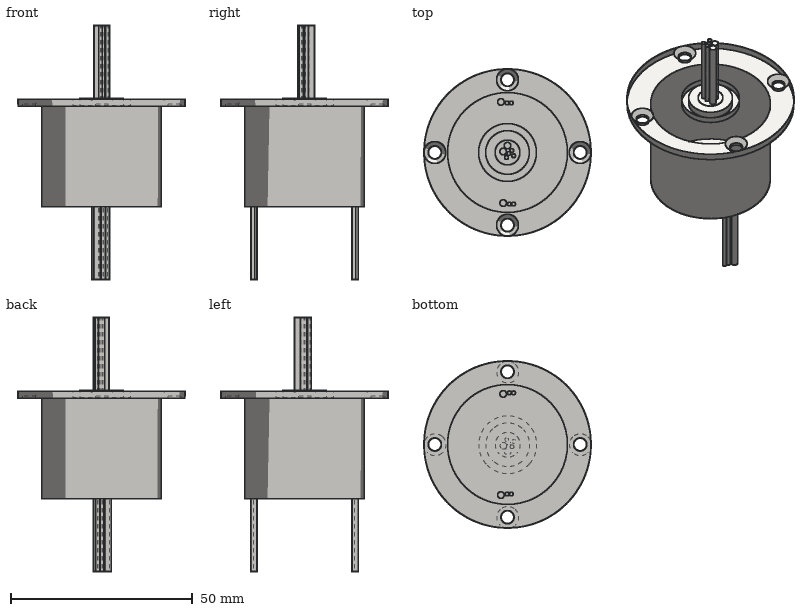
import cadquery as cq

lead_length = 20.0
total_height = 69.9
body_bottom = lead_length
boss_top = total_height - lead_length
boss_rise = 0.3
flange_top = boss_top - boss_rise
flange_thickness = 2.0

flange_radius = 23.0
body_radius = 16.5
recess_radius = 8.0
recess_depth = 1.75
boss_radius = 6.0
lead_seat_radius = 3.4
lead_seat_depth = 0.1

hole_count = 4
hole_circle_radius = 20.0
hole_diameter = 3.5
countersink_diameter = 6.0
countersink_angle = 90.0

thick_radius = 0.9
thin_radius = 0.525
upper_thick_positions = [(0.0, 1.9), (-1.2, 0.3)]
upper_thin_positions = [(1.2, 0.55), (1.7, -0.9), (0.35, -0.3), (-0.3, -1.4)]

lower_thick_positions = [(-1.2, -13.9), (-1.8, 13.9)]
lower_thin_offsets = [(1.7, -0.3), (2.9, -0.3)]


def cylinder(radius, bottom, top, position=(0.0, 0.0)):
    """Vertical cylinder between two heights."""
    return cq.Workplane("XY", origin=(*position, bottom)).circle(radius).extrude(top - bottom)


def make_shell():
    """Round body and flange, with a ring-shaped recess around the central boss."""
    flange_bottom = flange_top - flange_thickness
    recess_floor = flange_top - recess_depth
    seat_floor = boss_top - lead_seat_depth
    shell = cylinder(body_radius, body_bottom, flange_bottom)
    shell = shell.union(cylinder(flange_radius, flange_bottom, flange_top))
    shell = shell.cut(cylinder(recess_radius, recess_floor, flange_top))
    shell = shell.union(cylinder(boss_radius, recess_floor, boss_top))
    return shell.cut(cylinder(lead_seat_radius, seat_floor, boss_top))


def cut_mounting_holes(shell):
    """Countersunk holes through the flange, evenly spaced."""
    return (
        shell.copyWorkplane(cq.Workplane("XY", origin=(0, 0, flange_top)))
        .polarArray(hole_circle_radius, 0, 360, hole_count)
        .cskHole(hole_diameter, countersink_diameter, countersink_angle, depth=flange_thickness)
    )


def add_lower_leads(shell):
    """Two groups of fixed leads hanging from the bottom of the body."""
    for x, y in lower_thick_positions:
        shell = shell.union(cylinder(thick_radius, 0, body_bottom, (x, y)))
        for dx, dy in lower_thin_offsets:
            shell = shell.union(cylinder(thin_radius, 0, body_bottom, (x + dx, y + dy)))
    return shell


def make_upper_lead(radius, position):
    """Separate lead standing in the shallow seat on the boss."""
    return cylinder(radius, boss_top - lead_seat_depth, total_height, position)


housing = add_lower_leads(cut_mounting_holes(make_shell()))

upper_leads = []
for position in upper_thick_positions:
    upper_leads.append(make_upper_lead(thick_radius, position).val())
for position in upper_thin_positions:
    upper_leads.append(make_upper_lead(thin_radius, position).val())

result = cq.Compound.makeCompound([housing.val(), *upper_leads])